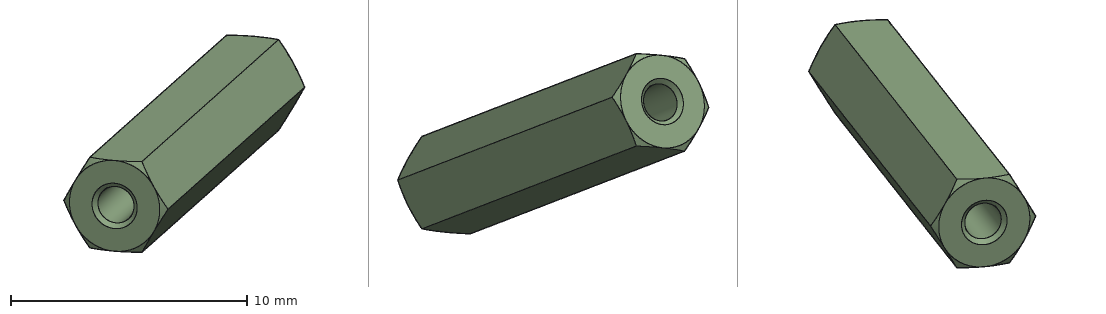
import cadquery as cq
import math

length = 20.0
across_flats = 4.0
across_corners = across_flats / math.cos(math.radians(30))
end_chamfer_angle = 30.0

hole_diameter = 1.6
countersink_diameter = 2.0
countersink_depth = (countersink_diameter - hole_diameter) / 2
hole_depth = 6.0
drill_tip_angle = 118.0


def revolve_about_y(profile):
    """Revolve a closed (radius, y) outline into a solid about the Y axis."""
    return cq.Workplane("XY").polyline(profile).close().revolve(360, (0, 0, 0), (0, 1, 0))


def hex_bar():
    """Hexagonal bar with flats at top and bottom and corners on the X axis."""
    return (
        cq.Workplane("XZ")
        .polygon(6, across_corners)
        .extrude(length / 2, both=True)
    )


def chamfer_envelope():
    """Coned cylinder that trims the hexagon corners at both ends."""
    face_radius = across_flats / 2
    corner_radius = across_corners / 2
    drop = (corner_radius - face_radius) * math.tan(math.radians(end_chamfer_angle))
    outer_radius = across_corners
    outer_drop = drop * (outer_radius - face_radius) / (corner_radius - face_radius)
    end = length / 2
    return revolve_about_y([
        (0, -end),
        (face_radius, -end),
        (outer_radius, -end + outer_drop),
        (outer_radius, end - outer_drop),
        (face_radius, end),
        (0, end),
    ])


def front_hole():
    """Countersunk blind hole with a conical drill tip, entering the -Y end."""
    radius = hole_diameter / 2
    tip_length = radius / math.tan(math.radians(drill_tip_angle / 2))
    entry = -length / 2
    return revolve_about_y([
        (0, entry),
        (countersink_diameter / 2, entry),
        (radius, entry + countersink_depth),
        (radius, entry + hole_depth),
        (0, entry + hole_depth + tip_length),
    ])


hole = front_hole()
result = hex_bar().intersect(chamfer_envelope()).cut(hole).cut(hole.mirror("XZ"))